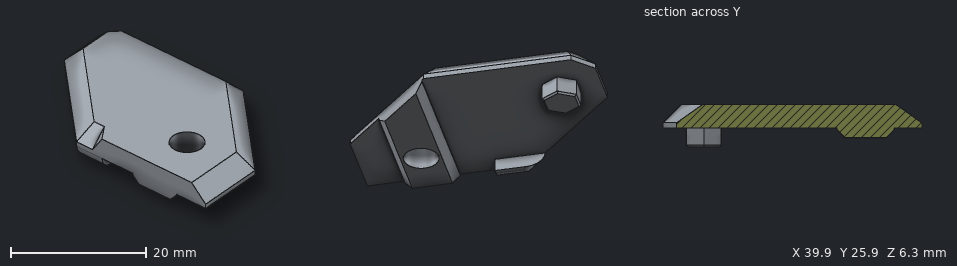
import cadquery as cq
import math

LENGTH = 39.9
WIDTH = 25.9
THICKNESS = 3.5
FRONT_LEFT_CUT = 14.95
BACK_RIGHT_CUT = 14.5
BACK_LEFT_CUT = 3.05
BEVEL = 2.7
RIM_HEIGHT = THICKNESS - BEVEL

FRONT_BEVEL_END = 18.05
FRONT_BEVEL_RUNOUT = 1.8

HOLE_DIAMETER = 5.3
HOLE_X = 30.0
HOLE_Y = 7.5

RIB_WIDTH = 8.5
RIB_HEIGHT = 1.45
RIB_CHAMFER = 1.2

PEG_ACROSS_FLATS = 5.2
PEG_HEIGHT = 2.8
PEG_CHAMFER = 0.27
PEG_X = 6.05
PEG_Y = 18.95

BEAD_RADIUS = 2.0
BEAD_WIDTH = 2.7
BEAD_END_X = 19.9


def outline_prism(bottom, top):
    """Prism with the outline of the plate between two heights."""
    return (
        cq.Workplane("XY", origin=(0, 0, bottom))
        .moveTo(FRONT_LEFT_CUT, 0)
        .lineTo(LENGTH, 0)
        .lineTo(LENGTH, WIDTH - BACK_RIGHT_CUT)
        .lineTo(LENGTH - BACK_RIGHT_CUT, WIDTH)
        .lineTo(BACK_LEFT_CUT, WIDTH)
        .lineTo(0, WIDTH - BACK_LEFT_CUT)
        .lineTo(0, FRONT_LEFT_CUT)
        .close()
        .extrude(top - bottom)
    )


def tetrahedron(a, b, c, d):
    """Solid bounded by the four triangles between four corner points."""
    triangles = [(a, b, c), (a, b, d), (a, c, d), (b, c, d)]
    faces = [
        cq.Face.makeFromWires(cq.Wire.makePolygon([cq.Vector(*p) for p in triangle], close=True))
        for triangle in triangles
    ]
    return cq.Workplane(cq.Solid.makeSolid(cq.Shell.makeShell(faces)))


def make_plate():
    """Plate bevelled along every top edge but the front one."""
    plate = outline_prism(0, THICKNESS)
    return plate.faces(">Z").edges("not <Y").chamfer(BEVEL)


def make_front_bevel_cut():
    """Bevel on the left end of the front edge, closed by a slanted triangular face."""
    wedge = (
        cq.Workplane("YZ")
        .moveTo(0, RIM_HEIGHT)
        .lineTo(BEVEL, THICKNESS)
        .lineTo(0, THICKNESS)
        .close()
        .extrude(FRONT_BEVEL_END)
    )
    runout = tetrahedron(
        (FRONT_BEVEL_END, 0, RIM_HEIGHT),
        (FRONT_BEVEL_END, BEVEL, THICKNESS),
        (FRONT_BEVEL_END, 0, THICKNESS),
        (FRONT_BEVEL_END + FRONT_BEVEL_RUNOUT, 0, THICKNESS),
    )
    return wedge.union(runout)


def make_rib():
    """Rib with chamfered lower edges, trimmed to the plate outline."""
    bar = (
        cq.Workplane("XY")
        .center(HOLE_X, WIDTH / 2)
        .rect(RIB_WIDTH, WIDTH)
        .extrude(-RIB_HEIGHT)
        .faces("<Z")
        .edges("|Y")
        .chamfer(RIB_CHAMFER)
    )
    return bar.intersect(outline_prism(-RIB_HEIGHT, 0))


def make_peg():
    """Hexagonal peg with two corners pointing along Y and a chamfered tip."""
    across_corners = PEG_ACROSS_FLATS / math.cos(math.pi / 6)
    return (
        cq.Workplane("XY")
        .center(PEG_X, PEG_Y)
        .transformed(rotate=(0, 0, 90))
        .polygon(6, across_corners)
        .extrude(-PEG_HEIGHT)
        .faces("<Z")
        .chamfer(PEG_CHAMFER)
    )


def make_bead():
    """Quarter-round bead with a mitred bend where the outline turns."""
    leg = 2 * BEAD_WIDTH
    path = (
        cq.Workplane("XY")
        .moveTo(BEAD_END_X, 0)
        .lineTo(FRONT_LEFT_CUT, 0)
        .lineTo(FRONT_LEFT_CUT - leg, leg)
    )
    arc_middle = BEAD_RADIUS * math.sqrt(0.5)
    bead = (
        cq.Workplane("YZ", origin=(BEAD_END_X, 0, 0))
        .threePointArc((BEAD_RADIUS - arc_middle, -arc_middle), (BEAD_RADIUS, -BEAD_RADIUS))
        .lineTo(BEAD_WIDTH, -BEAD_RADIUS)
        .lineTo(BEAD_WIDTH, 0)
        .close()
        .sweep(path, transition="right")
    )
    front_strip = cq.Workplane("XY").rect(LENGTH, BEAD_WIDTH, centered=False).extrude(-BEAD_RADIUS)
    return bead.intersect(front_strip)


def make_hole():
    """Cylinder removed through the plate and the rib."""
    return (
        cq.Workplane("XY", origin=(HOLE_X, HOLE_Y, -RIB_HEIGHT))
        .circle(HOLE_DIAMETER / 2)
        .extrude(RIB_HEIGHT + THICKNESS)
    )


result = (
    make_plate()
    .cut(make_front_bevel_cut())
    .union(make_rib())
    .union(make_peg())
    .union(make_bead())
    .cut(make_hole())
)